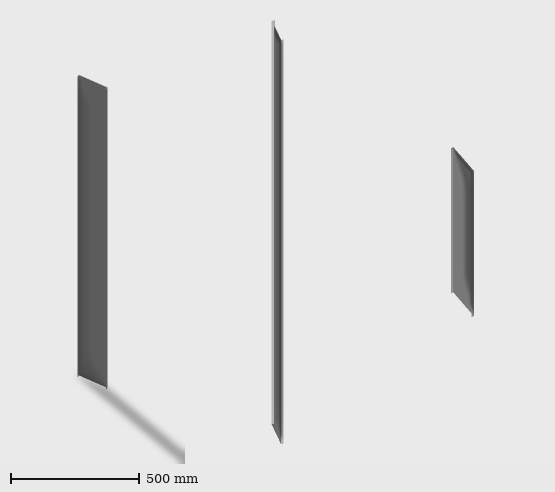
import cadquery as cq

length = 2000.0
width = 128.0
depth = 10.5

thickness = 2.0

web = cq.Workplane("XY").box(width, thickness, length).translate((0, (depth - thickness) / 2, 0))

result = web
for side in (-1, 1):
    flange = cq.Workplane("XY").box(thickness, depth, length)
    result = result.union(flange.translate((side * (width - thickness) / 2, 0, 0)))